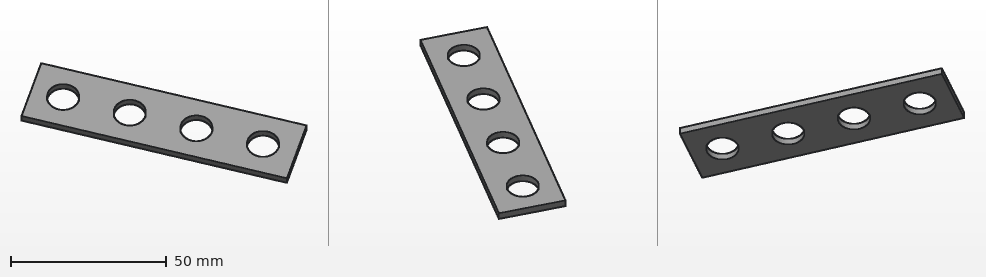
import cadquery as cq

length = 88.9
width = 22.3
thickness = 2.5

hole_diameter = 10.4
hole_count = 4
hole_pitch = width
first_hole_offset = 10.7

hole_centres = [
    (first_hole_offset + index * hole_pitch, width / 2)
    for index in range(hole_count)
]

bar = cq.Workplane("XY").box(length, width, thickness, centered=False)
holes = (
    cq.Workplane("XY")
    .pushPoints(hole_centres)
    .circle(hole_diameter / 2)
    .extrude(thickness)
)

result = bar.cut(holes)